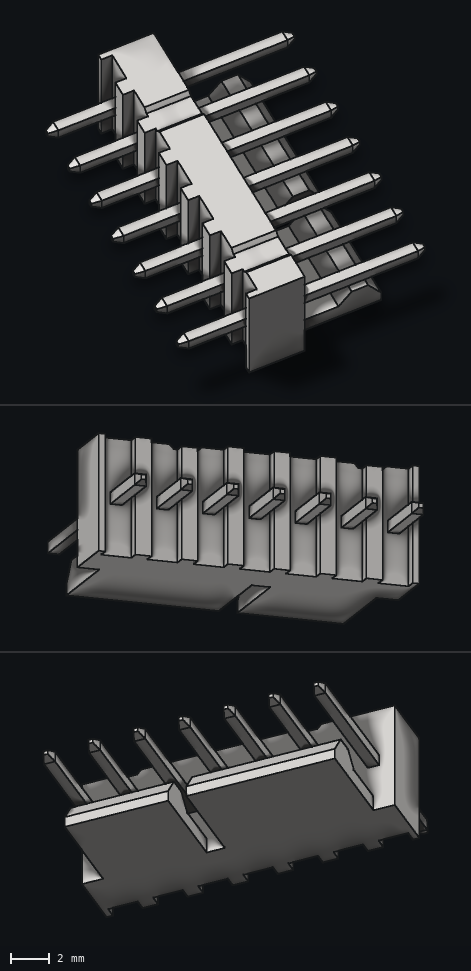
import cadquery as cq

pin_count = 7
pitch = 2.54
pin_width = 0.63
pin_tip_width = 0.25
pin_taper = 0.51
pin_length = 14.23
pin_height = 3.1
pin_front_reach = 3.55

body_length = 17.63
body_depth = 3.2
body_height = 6.35
groove_width = 1.65
groove_depth = 0.63

notch_floor = 1.27
notch_depth = 0.25
notch_mouth = notch_floor + 2 * notch_depth
notch_stations = (1, 5)

ledge_reach = 5.0
ledge_thickness = 0.88
latch_height = 1.71
latch_nose_height = 0.62
latch_ramp = 0.75
latch_flat = 0.95
ledge_gap = 1.02
ledge_gap_station = 3
ledge_end_inset = 1.2

first_pin_x = -pitch * (pin_count - 1) / 2
pin_positions = [first_pin_x + i * pitch for i in range(pin_count)]


def between_pins(index):
    """X midway between pin number `index` (from zero) and the next pin."""
    return first_pin_x + (index + 0.5) * pitch


def make_body():
    """Block with a vertical groove in front of each pin and notches in its top edge.

    The front face is on Y = 0 and the underside on Z = 0.
    """
    body = cq.Workplane("XY").box(body_length, body_depth, body_height, centered=(True, False, False))
    for x in pin_positions:
        groove = cq.Workplane("XY").box(
            groove_width, groove_depth, body_height, centered=(True, False, False)
        )
        body = body.cut(groove.translate((x, 0, 0)))

    notch = (
        cq.Workplane("XZ")
        .polyline(
            [
                (-notch_mouth / 2, body_height),
                (-notch_floor / 2, body_height - notch_depth),
                (notch_floor / 2, body_height - notch_depth),
                (notch_mouth / 2, body_height),
            ]
        )
        .close()
        .extrude(-body_depth)
    )
    for index in notch_stations:
        body = body.cut(notch.translate((between_pins(index), 0, 0)))
    return body


def make_ledge():
    """Ledge with a raised latch along its back edge, split in two by a gap."""
    length = body_length - 2 * ledge_end_inset
    back = body_depth + ledge_reach
    crest_back = back - latch_ramp
    crest_front = crest_back - latch_flat
    ledge = (
        cq.Workplane("YZ", origin=(-length / 2, 0, 0))
        .polyline(
            [
                (body_depth, 0),
                (back, 0),
                (back, latch_nose_height),
                (crest_back, latch_height),
                (crest_front, latch_height),
                (crest_front - latch_ramp, ledge_thickness),
                (body_depth, ledge_thickness),
            ]
        )
        .close()
        .extrude(length)
    )
    gap = cq.Workplane("XY").box(ledge_gap, ledge_reach, latch_height, centered=(True, False, False))
    return ledge.cut(gap.translate((between_pins(ledge_gap_station), body_depth, 0)))


def make_pin(x):
    """Square pin along Y, tapered at both ends."""
    front_shoulder = pin_taper - pin_front_reach
    back_shoulder = pin_length - pin_front_reach - pin_taper

    def section(y, width):
        plane = cq.Plane(origin=(x, y, pin_height), xDir=(1, 0, 0), normal=(0, 1, 0))
        return cq.Workplane(plane).rect(width, width)

    def tip(shoulder, offset):
        end = section(shoulder, pin_width).workplane(offset=offset)
        return end.rect(pin_tip_width, pin_tip_width).loft()

    shank = section(front_shoulder, pin_width).extrude(back_shoulder - front_shoulder)
    return shank.union(tip(front_shoulder, -pin_taper)).union(tip(back_shoulder, pin_taper))


result = make_body().union(make_ledge())
for pin_x in pin_positions:
    result = result.union(make_pin(pin_x))